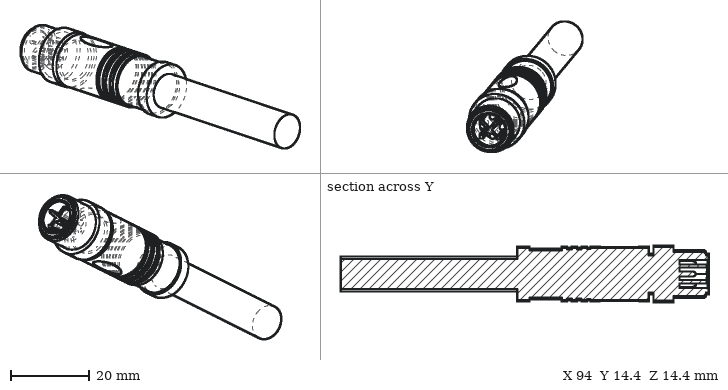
import cadquery as cq
import math

total_length = 94.0
cable_radius = 4.5

nose_radius = 5.3
chamfer_start = 0.75
chamfer_end = 1.2
chamfer_small_radius = 5.6
thread_radius = 6.1
ring_start = 9.0
ring_end = 14.2
ring_radius = 7.2

grip_start = 15.3
grip_diameter = 14.0
grip_radius = grip_diameter / 2
seam_groove_start = 30.3
seam_groove_width = 0.8
seam_groove_depth = 0.2
rib_width = 1.4
rib_gap = 1.1
rib_groove_depth = 0.3
rib_groove_count = 2
rear_radius = 6.5
collar_start = 45.8
collar_end = 49.0

mouth_radius = 4.5
mouth_taper_length = 0.4
socket_radius = 4.1
socket_depth = 7.5

pin_count = 4
pin_circle_radius = 2.5
pin_radius = 0.75
pin_tip = 3.3
floor_overlap = 0.3
wall_front = 0.6
wall_thickness = 0.75
upper_wall_reach = 2.4
foot_size = 0.9
foot_outer_y = 2.7
foot_bottom = -2.4
web_bottom = -1.0
web_half_width = 0.8
leg_foot_height = 0.4

badge_center = 22.8
badge_length = 11.0
badge_width = 4.2
badge_depth = 0.1


def tube(start, end, outer, inner):
    """Ring around the X axis between two stations."""
    plane = cq.Workplane("YZ", origin=(start, 0, 0))
    return plane.circle(outer).circle(inner).extrude(end - start)


def make_body():
    """Stepped round body: nose, thread, ring, neck, grip, collar and cable."""
    ribs_start = seam_groove_start + seam_groove_width
    ribs_end = ribs_start + rib_width + rib_groove_count * (rib_gap + rib_width)
    profile = [
        (0, 0),
        (0, nose_radius),
        (chamfer_start, nose_radius),
        (chamfer_start, chamfer_small_radius),
        (chamfer_end, thread_radius),
        (ring_start, thread_radius),
        (ring_start, ring_radius),
        (ring_end, ring_radius),
        (ring_end, nose_radius),
        (grip_start, nose_radius),
        (grip_start, grip_radius),
        (ribs_end, grip_radius),
        (ribs_end, rear_radius),
        (collar_start, rear_radius),
        (collar_start, grip_radius),
        (collar_end, grip_radius),
        (collar_end, cable_radius),
        (total_length, cable_radius),
        (total_length, 0),
    ]
    return cq.Workplane("XY").polyline(profile).close().revolve(360, (0, 0, 0), (1, 0, 0))


def cut_grooves(body):
    """Shallow seam groove followed by the gaps between the ribs."""
    seam_end = seam_groove_start + seam_groove_width
    body = body.cut(tube(seam_groove_start, seam_end, ring_radius, grip_radius - seam_groove_depth))
    for index in range(rib_groove_count):
        start = seam_end + rib_width + index * (rib_gap + rib_width)
        body = body.cut(tube(start, start + rib_gap, ring_radius, grip_radius - rib_groove_depth))
    return body


def make_socket():
    """Cavity behind a tapered mouth in the plug tip."""
    profile = [
        (0, 0),
        (0, mouth_radius),
        (mouth_taper_length, socket_radius),
        (socket_depth, socket_radius),
        (socket_depth, 0),
    ]
    return cq.Workplane("XY").polyline(profile).close().revolve(360, (0, 0, 0), (1, 0, 0))


def make_pin(angle):
    """Round contact pin with a domed tip, standing on the socket floor."""
    y = pin_circle_radius * math.cos(angle)
    z = pin_circle_radius * math.sin(angle)
    dome_center = pin_tip + pin_radius
    shaft = cq.Workplane("YZ", origin=(dome_center, y, z)).circle(pin_radius)
    shaft = shaft.extrude(socket_depth + floor_overlap - dome_center)
    dome = cq.Workplane("XY").sphere(pin_radius).translate((dome_center, y, z))
    return shaft.union(dome)


def make_pin_walls():
    """X-shaped wall between the pins, with a web and square feet on its lower arms."""
    notch = wall_thickness / math.sqrt(2)
    foot_top = foot_bottom + foot_size
    foot_inner_y = foot_outer_y - foot_size
    positive_y_side = [
        (upper_wall_reach - notch, upper_wall_reach),
        (upper_wall_reach, upper_wall_reach),
        (upper_wall_reach, upper_wall_reach - notch),
        (notch, 0),
        (notch - foot_top, foot_top),
        (foot_outer_y, foot_top),
        (foot_outer_y, foot_bottom),
        (foot_inner_y, foot_bottom),
        (foot_inner_y, foot_bottom + leg_foot_height),
        (web_half_width, web_bottom),
    ]
    negative_y_side = [(-y, z) for y, z in reversed(positive_y_side)]
    outline = [(0, notch)] + positive_y_side + negative_y_side
    plane = cq.Workplane("YZ", origin=(wall_front, 0, 0))
    return plane.polyline(outline).close().extrude(socket_depth + floor_overlap - wall_front)


def cut_badge(body):
    """Shallow oval recesses on the top and bottom, following the curve of the grip."""
    oval = cq.Workplane("XY").center(badge_center, 0).ellipse(badge_length / 2, badge_width / 2)
    oval = oval.extrude(ring_radius, both=True)
    shell = tube(grip_start, seam_groove_start, ring_radius, grip_radius - badge_depth)
    return body.cut(shell.intersect(oval))


result = cut_grooves(make_body())
result = cut_badge(result)
result = result.cut(make_socket())
result = result.union(make_pin_walls())
for pin_index in range(pin_count):
    result = result.union(make_pin(pin_index * 2 * math.pi / pin_count))